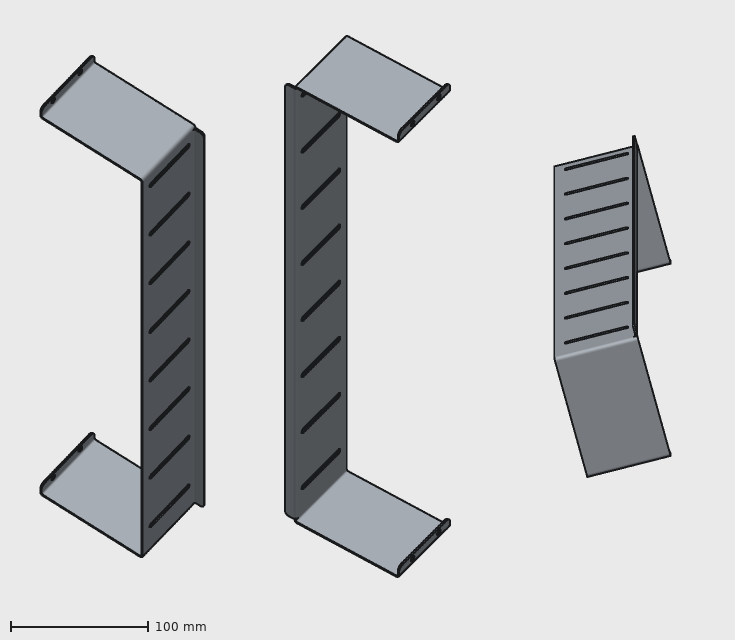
import cadquery as cq

overall_x = 103.5
width = 63.0
overall_z = 476.0
sheet = 1.5
bend_inner = 1.5
bend_outer = bend_inner + sheet

lip_height = 11.0
flange_reach = 10.0
lip_corner_radius = 4.8
flange_corner_radius = 4.0
flange_setback = 3.0

web_inner_x = overall_x - flange_reach
web_outer_x = web_inner_x + sheet
shelf_undersides = (0.0, overall_z - lip_height)
web_top = shelf_undersides[1] + sheet

hole_diameter = 4.5
hole_ys = (14.0, 46.0)
hole_below_lip_edge = 4.5

slot_width = 4.5
slot_length = 47.5
slot_center_y = 32.0
slot_count = 8
slot_pitch = 60.0
first_slot_z = 30.5

cut_margin = 4.8


def block(x_range, y_range, z_range):
    """Axis-aligned box between pairs of limits."""
    size = [high - low for low, high in (x_range, y_range, z_range)]
    corner = (x_range[0], y_range[0], z_range[0])
    return cq.Workplane("XY").box(*size, centered=False).translate(corner)


def lip(underside):
    """Upright lip along a shelf's free edge, with rounded corners and two holes."""
    lip_edge = underside + lip_height
    plate = block((0, sheet), (0, width), (underside, lip_edge))
    plate = plate.edges("|X and >Z").fillet(lip_corner_radius)
    for y in hole_ys:
        hole = (
            cq.Workplane("YZ", origin=(-cut_margin, y, lip_edge - hole_below_lip_edge))
            .circle(hole_diameter / 2)
            .extrude(sheet + 2 * cut_margin)
        )
        plate = plate.cut(hole)
    return plate


def bend(plane, center, x_sign, y_sign, length):
    """Quarter-round sheet bend; the signs select the quadrant about its center."""
    ring = cq.Workplane(plane, origin=center).circle(bend_outer).circle(bend_inner).extrude(length)
    quadrant = (
        cq.Workplane(plane, origin=center)
        .rect(x_sign * bend_outer, y_sign * bend_outer, centered=False)
        .extrude(length)
    )
    return ring.intersect(quadrant)


def round_corner(body, plane, corner, x_sign, y_sign, length):
    """Replace the square corner where two sheets meet with a quarter-round bend."""
    square = (
        cq.Workplane(plane, origin=corner)
        .rect(-x_sign * bend_outer, -y_sign * bend_outer, centered=False)
        .extrude(length)
    )
    center = (
        cq.Workplane(plane, origin=corner)
        .plane.toWorldCoords((-x_sign * bend_outer, -y_sign * bend_outer, 0))
        .toTuple()
    )
    return body.cut(square).union(bend(plane, center, x_sign, y_sign, length))


body = block((web_inner_x, web_outer_x), (0, width), (0, web_top))
for underside in shelf_undersides:
    shelf = block((0, web_outer_x), (0, width), (underside, underside + sheet))
    body = body.union(shelf).union(lip(underside))

for underside in shelf_undersides:
    body = round_corner(body, "XZ", (0, width, underside), -1, -1, width)
body = round_corner(body, "XZ", (web_outer_x, width, 0), 1, -1, width)
body = round_corner(body, "XZ", (web_outer_x, width, web_top), 1, 1, width)

flange_bottom = flange_setback
flange_top = web_top - flange_setback
flange = block((web_inner_x, overall_x), (width - sheet, width), (flange_bottom, flange_top))
flange = flange.edges("|Y and >X").fillet(flange_corner_radius)
body = body.union(flange)
body = round_corner(
    body, "XY", (web_inner_x, width, flange_bottom), -1, 1, flange_top - flange_bottom
)

for index in range(slot_count):
    slot_z = first_slot_z + index * slot_pitch
    slot = (
        cq.Workplane("YZ", origin=(web_inner_x - cut_margin, slot_center_y, slot_z))
        .slot2D(slot_length, slot_width)
        .extrude(sheet + 2 * cut_margin)
    )
    body = body.cut(slot)

result = body